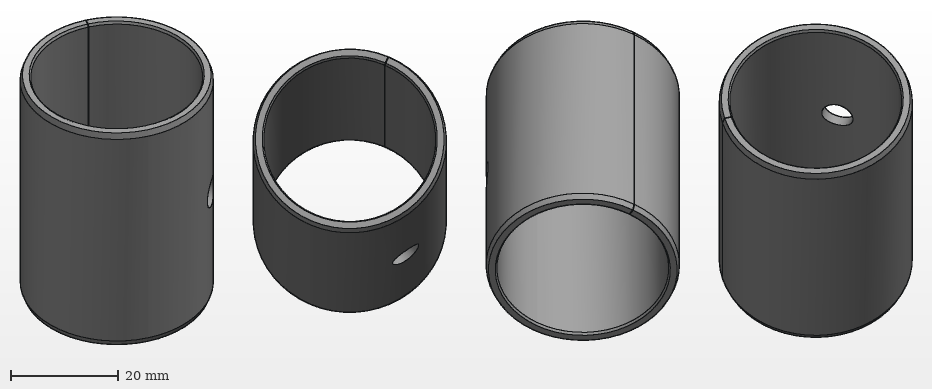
import cadquery as cq
import math

length = 50.0
outer_diameter = 36.0
wall = 2.0
outer_chamfer_height = 1.2
outer_chamfer_angle = 20.0
inner_chamfer_height = 0.5
inner_chamfer_depth = 0.3
slit_width = 0.15
hole_diameter = 6.0
hole_azimuth = 60.0

outer_radius = outer_diameter / 2
inner_radius = outer_radius - wall
half_length = length / 2
outer_chamfer_depth = outer_chamfer_height * math.tan(math.radians(outer_chamfer_angle))


def sleeve():
    """Revolve the wall section, chamfered at all four edges."""
    end_outer = outer_radius - outer_chamfer_depth
    end_inner = inner_radius + inner_chamfer_depth
    outer_top = half_length - outer_chamfer_height
    inner_top = half_length - inner_chamfer_height
    section = [
        (inner_radius, -inner_top),
        (end_inner, -half_length),
        (end_outer, -half_length),
        (outer_radius, -outer_top),
        (outer_radius, outer_top),
        (end_outer, half_length),
        (end_inner, half_length),
        (inner_radius, inner_top),
    ]
    return cq.Workplane("XZ").polyline(section).close().revolve(360, (0, 0), (0, 1))


def slit():
    """Full-length cut through the wall on the -X side."""
    return cq.Workplane("XY").box(outer_diameter, slit_width, length).translate((-outer_radius, 0, 0))


def radial_hole():
    """Round hole through one side of the wall at mid-length."""
    drill = cq.Workplane("YZ").circle(hole_diameter / 2).extrude(outer_diameter)
    return drill.rotate((0, 0, 0), (0, 0, 1), hole_azimuth)


result = sleeve().cut(slit()).cut(radial_hole())